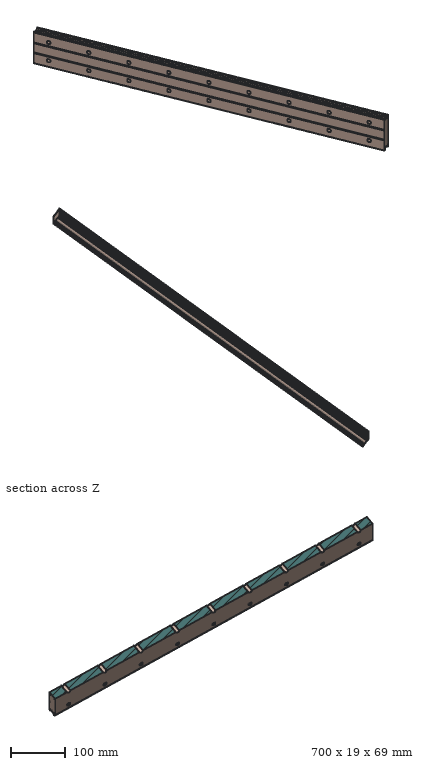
import cadquery as cq
import math

LENGTH = 700.0
THICKNESS = 19.0
HEIGHT = 69.0

FRONT_CHAMFER = 1.0
LIP_WIDTH = 3.5
FLANK_ANGLE = 60.0
CHANNEL_DEPTH = 3.5
RIM_WIDTH = 8.5
RIM_BEVEL_RUN = 1.75
RIM_TIP_WIDTH = 3.0
RIM_INNER_DROP = 3.0

GROOVE_WIDTH = 1.75
GROOVE_DEPTH = 1.0
GROOVE_SPACING = 22.0

HOLE_DIAMETER = 7.0
HOLE_COUNT = 9
HOLE_ROW_SPACING = 40.0
HOLE_END_MARGIN = 30.0
HOLE_PITCH = (LENGTH - 2 * HOLE_END_MARGIN) / (HOLE_COUNT - 1)

FRONT_Y = -THICKNESS / 2
BACK_Y = THICKNESS / 2
TOP_Z = HEIGHT / 2


def half_rail():
    """Upper half of the rail: the section above mid-height, extruded along X."""
    lip_y = FRONT_Y + LIP_WIDTH
    floor_z = TOP_Z - CHANNEL_DEPTH
    flank_slope = math.tan(math.radians(FLANK_ANGLE))
    rim_tip_back_y = BACK_Y - RIM_BEVEL_RUN
    rim_tip_front_y = rim_tip_back_y - RIM_TIP_WIDTH
    section = (
        cq.Workplane("YZ")
        .moveTo(FRONT_Y, 0)
        .lineTo(FRONT_Y, TOP_Z - FRONT_CHAMFER)
        .lineTo(FRONT_Y + FRONT_CHAMFER, TOP_Z)
        .lineTo(lip_y, TOP_Z)
        .lineTo(lip_y + CHANNEL_DEPTH / flank_slope, floor_z)
        .lineTo(BACK_Y - RIM_WIDTH, floor_z)
        .lineTo(rim_tip_front_y - RIM_INNER_DROP / flank_slope, TOP_Z - RIM_INNER_DROP)
        .lineTo(rim_tip_front_y, TOP_Z)
        .lineTo(rim_tip_back_y, TOP_Z)
        .lineTo(BACK_Y, TOP_Z - RIM_BEVEL_RUN * flank_slope)
        .lineTo(BACK_Y, 0)
        .close()
    )
    return section.extrude(LENGTH / 2, both=True)


def front_groove():
    """Shallow groove along the upper half of the front face."""
    groove = cq.Workplane("XY").box(LENGTH, 2 * GROOVE_DEPTH, GROOVE_WIDTH)
    return groove.translate((0, FRONT_Y, GROOVE_SPACING / 2))


def mounting_holes():
    """Two rows of through holes, centred on the rail."""
    return (
        cq.Workplane("XZ")
        .rarray(HOLE_PITCH, HOLE_ROW_SPACING, HOLE_COUNT, 2)
        .circle(HOLE_DIAMETER / 2)
        .extrude(THICKNESS, both=True)
    )


upper_half = half_rail().cut(front_groove())
result = upper_half.union(upper_half.mirror("XY")).clean().cut(mounting_holes())